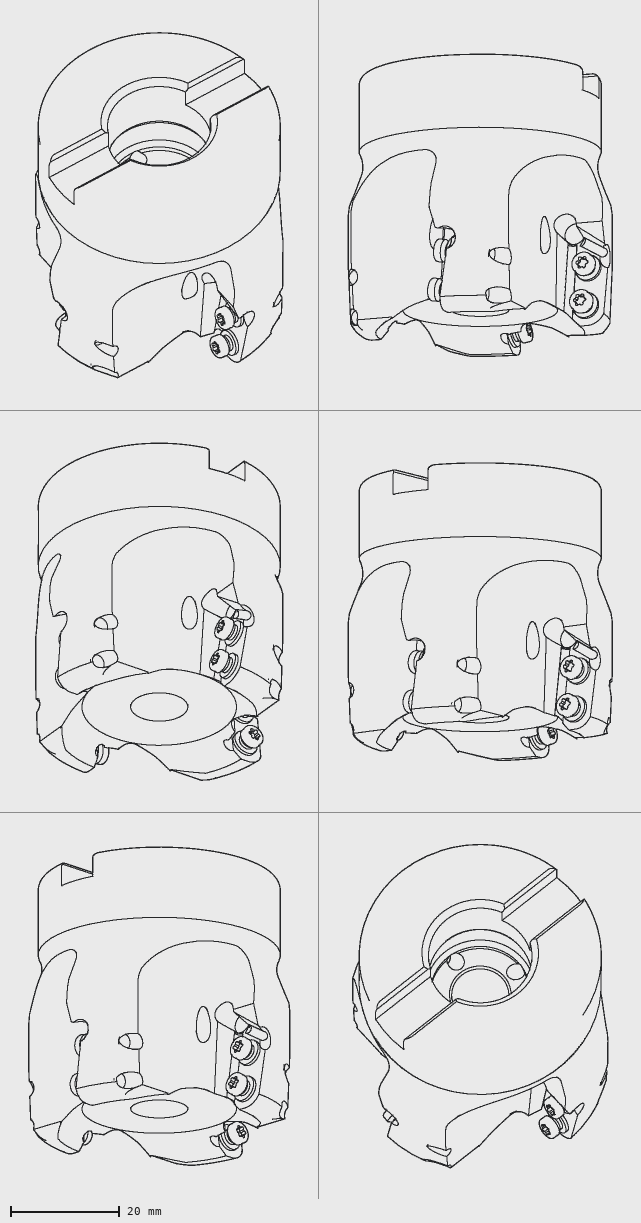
import cadquery as cq
import math


TEETH = 4
TOOTH_ANGLES = [i * 360 / TEETH for i in range(TEETH)]
CLEAR = 35.0

HEIGHT = 47.92
CUTTER_R = 48.57 / 2
HUB_R = 22.25
HUB_BOTTOM_Z = 33.9
HUB_EDGE_R = 1.5
NECK_R = 21.6
NECK_Z = 31.5
NECK_END_R = 21.9
NECK_END_Z = 29.2
CONE_END_R = 24.05
CONE_END_Z = 23.6
LAND_TOP_Z = 21.9
TAPER_TOP_Z = 12.7
NOSE_R = 23.85
NOSE_TOP_Z = 2.05
NOSE_MID_R = 22.9
NOSE_MID_Z = 0.8
RING_R = 20.7

DISH_DEPTH = 4.2
DISH_FLOOR_R = 14.2
DISH_MID_R = 16.2
DISH_MID_Z = 2.9
DISH_MOUTH_R = 19.2

BORE_R = 9.5
BORE_CHAMFER = 1.2
BORE_LAND_Z = 36.9
RELIEF_STEP = 0.5
RELIEF_TAPER = 1.0
RELIEF_END_Z = 31.0
SPIGOT_R = 9.15
SPIGOT_TOP_Z = 30.0
BORE_FLOOR_Z = 29.0
BOLT_HOLE_R = 5.25
BOLT_HOLE_CHAMFER = 0.4
SLOT_WIDTH = 7.9
SLOT_DEPTH = 4.85
SLOT_CHAMFER = 0.65

FLUTE_TILT = 4.5
FLUTE_WALL_Y = -1.86
FLUTE_FLOOR_X = 13.7
FLUTE_ARC_START = 19.0
FLUTE_ARC_R = 12.0
FLUTE_FILLET = 2.9
FLUTE_LENGTH = 26.0

CLEARANCE_START_X = 12.0
CLEARANCE_START_Y = 9.3
CLEARANCE_RISE = 1.25

SEAT_TILT = 9.1
SEAT_Y = 1.25
SEAT_SIDE_X = 16.3
SEAT_TOP_V = 18.8
SEAT_TOP_SLOPE = 30.0
SEAT_DRAFT = 10.0
SEAT_CUT_HEIGHT = 8.0
SEAT_STEP_HEIGHT = 2.0
SEAT_STEP = 0.35
SIDE_GROOVE_X = 16.7
SIDE_GROOVE_R = 0.9
SIDE_GROOVE_TOP = 16.2
TOP_GROOVE_R = 0.85
TOP_GROOVE_X = 18.7
CORNER_X = 17.05
CORNER_V = 18.3
CORNER_R = 2.1
CORNER_DEPTH = 0.4
BREAKOUT_CENTER = (24.4, 2.6, 13.0)
BREAKOUT_R = 2.15
BEVEL_TOP_Z = 19.0
BEVEL_HEIGHT = 4.0
BEVEL_DEPTH = 1.2
BEVEL_START_X = 17.5

SCREW_X = 20.25
SCREW_V = (3.85, 11.2)
THREAD_R = 1.5
SCREW_TIP = -7.5
HEAD_R = 2.1
HEAD_TOP = 3.4
HEAD_ROUND = 0.4
HEAD_UNDERSIDE = 1.9
NECK_TOP = 1.2
HOLE_DEPTH = 14.0
COLLAR_R = 2.45
COLLAR_TOP = 0.6
SOCKET_CORE_R = 0.9
SOCKET_LOBES = 6
SOCKET_LOBE_R = 0.3
SOCKET_DEPTH = 1.0

COOLANT_R = 1.55
COOLANT_ENTRY = cq.Vector(7.9, -0.84, BORE_FLOOR_Z)
COOLANT_EXIT = cq.Vector(13.5, -2.8, 17.3)
COOLANT_START = 1.0
COOLANT_OVERRUN = 4.0


def leaning_plane(y_at_bottom, tilt):
    """Plane facing -Y that leans back by tilt degrees: local x is X, local y runs up the plane."""
    a = math.radians(tilt)
    return cq.Plane(
        origin=(0, y_at_bottom, 0), xDir=(1, 0, 0), normal=(0, -math.cos(a), math.sin(a))
    )


SEAT = leaning_plane(SEAT_Y, SEAT_TILT)
FLUTE_WALL = leaning_plane(FLUTE_WALL_Y, FLUTE_TILT)


def around(tool):
    """The tool repeated at every tooth."""
    return [tool.rotate((0, 0, 0), (0, 0, 1), angle) for angle in TOOTH_ANGLES]


def turned_blank():
    profile = (
        cq.Workplane("XZ")
        .lineTo(RING_R, 0)
        .threePointArc((NOSE_MID_R, NOSE_MID_Z), (NOSE_R, NOSE_TOP_Z))
        .lineTo(CUTTER_R, TAPER_TOP_Z)
        .lineTo(CUTTER_R, LAND_TOP_Z)
        .lineTo(CONE_END_R, CONE_END_Z)
        .lineTo(NECK_END_R, NECK_END_Z)
        .threePointArc((NECK_R, NECK_Z), (HUB_R, HUB_BOTTOM_Z))
        .lineTo(HUB_R, HEIGHT)
        .lineTo(0, HEIGHT)
        .close()
    )
    return profile.revolve().faces(">Z").edges().fillet(HUB_EDGE_R)


def end_dish():
    return (
        cq.Workplane("XZ")
        .lineTo(DISH_MOUTH_R, 0)
        .lineTo(DISH_MID_R, DISH_MID_Z)
        .lineTo(DISH_FLOOR_R, DISH_DEPTH)
        .lineTo(0, DISH_DEPTH)
        .close()
        .revolve()
    )


def arbor_bore():
    relief_r = BORE_R + RELIEF_STEP
    return (
        cq.Workplane("XZ")
        .lineTo(BOLT_HOLE_R, 0)
        .lineTo(BOLT_HOLE_R, BORE_FLOOR_Z - BOLT_HOLE_CHAMFER)
        .lineTo(BOLT_HOLE_R + BOLT_HOLE_CHAMFER, BORE_FLOOR_Z)
        .lineTo(SPIGOT_R, BORE_FLOOR_Z)
        .lineTo(SPIGOT_R, SPIGOT_TOP_Z)
        .lineTo(relief_r, RELIEF_END_Z)
        .lineTo(relief_r, BORE_LAND_Z - RELIEF_TAPER)
        .lineTo(BORE_R, BORE_LAND_Z)
        .lineTo(BORE_R, HEIGHT - BORE_CHAMFER)
        .lineTo(BORE_R + BORE_CHAMFER, HEIGHT)
        .lineTo(0, HEIGHT)
        .close()
        .revolve()
    )


def drive_slot():
    half = SLOT_WIDTH / 2
    return (
        cq.Workplane("XZ")
        .moveTo(-half, HEIGHT - SLOT_DEPTH)
        .lineTo(half, HEIGHT - SLOT_DEPTH)
        .lineTo(half, HEIGHT - SLOT_CHAMFER)
        .lineTo(half + SLOT_CHAMFER, HEIGHT)
        .lineTo(-half - SLOT_CHAMFER, HEIGHT)
        .lineTo(-half, HEIGHT - SLOT_CHAMFER)
        .close()
        .extrude(CLEAR, both=True)
    )


def chip_flute():
    """Pocket in front of a tooth: flat floor curving outwards at the top, rounded into the wall."""
    arc_end = (FLUTE_FLOOR_X + FLUTE_ARC_R, FLUTE_ARC_START + FLUTE_ARC_R)
    bottom = -CLEAR / 2
    pocket = (
        cq.Workplane(FLUTE_WALL)
        .moveTo(FLUTE_FLOOR_X, bottom)
        .lineTo(FLUTE_FLOOR_X, FLUTE_ARC_START)
        .tangentArcPoint(arc_end, relative=False)
        .lineTo(CLEAR, arc_end[1])
        .lineTo(CLEAR, bottom)
        .close()
        .extrude(FLUTE_LENGTH)
    )
    wall_edges = pocket.faces(cq.selectors.DirectionMinMaxSelector(FLUTE_WALL.zDir, False)).edges()
    inside = cq.selectors.BoxSelector(
        (FLUTE_FLOOR_X - 1, -CLEAR, -CLEAR), (arc_end[0], CLEAR, arc_end[1] + 1)
    )
    return wall_edges.edges(inside).fillet(FLUTE_FILLET)


def bottom_clearance():
    """Wedge that lifts the trailing end of a tooth off the cutting plane."""
    slope = CLEARANCE_RISE / (FLUTE_FLOOR_X - CLEARANCE_START_Y)
    end_y = FLUTE_FLOOR_X + 1
    return (
        cq.Workplane("YZ", origin=(CLEARANCE_START_X, 0, 0))
        .moveTo(CLEARANCE_START_Y, 0)
        .lineTo(end_y, slope * (end_y - CLEARANCE_START_Y))
        .lineTo(end_y, -1)
        .lineTo(CLEARANCE_START_Y, -1)
        .close()
        .extrude(CLEAR)
    )


def wall_bevel():
    """Bevel that cuts the flute wall back just above the seat."""
    wall_y = FLUTE_WALL_Y + BEVEL_TOP_Z * math.tan(math.radians(FLUTE_TILT))
    return (
        cq.Workplane("YZ", origin=(BEVEL_START_X, 0, 0))
        .moveTo(wall_y, BEVEL_TOP_Z)
        .lineTo(wall_y + BEVEL_DEPTH, BEVEL_TOP_Z - BEVEL_HEIGHT)
        .lineTo(wall_y - BEVEL_DEPTH, BEVEL_TOP_Z - BEVEL_HEIGHT)
        .close()
        .extrude(CLEAR)
    )


def seat_top(x):
    """Height of the sloping top wall at the seat plane."""
    return SEAT_TOP_V - (x - SEAT_SIDE_X) * math.tan(math.radians(SEAT_TOP_SLOPE))


def seat_pocket(step, base_height):
    """Drafted pocket above the seat, its side and top walls moved out by step."""
    side_x = SEAT_SIDE_X - step
    return (
        cq.Workplane(SEAT)
        .workplane(offset=base_height)
        .moveTo(side_x, -CLEAR / 2)
        .lineTo(side_x, seat_top(side_x) + step)
        .lineTo(CLEAR, seat_top(CLEAR) + step)
        .lineTo(CLEAR, -CLEAR / 2)
        .close()
        .extrude(SEAT_CUT_HEIGHT, taper=-SEAT_DRAFT)
    )


def insert_seat():
    """Stepped seat pocket with relief grooves along its walls and a drilled inner corner."""
    pocket = seat_pocket(0, 0)
    upper_pocket = seat_pocket(SEAT_STEP, SEAT_STEP_HEIGHT)
    side_groove = cq.Solid.makeCylinder(
        SIDE_GROOVE_R,
        SIDE_GROOVE_TOP,
        SEAT.toWorldCoords((SIDE_GROOVE_X, 0, 0)),
        SEAT.yDir,
    )
    groove_start = SEAT.toWorldCoords((TOP_GROOVE_X, seat_top(TOP_GROOVE_X) - TOP_GROOVE_R, 0))
    groove_end = SEAT.toWorldCoords((CLEAR, seat_top(CLEAR) - TOP_GROOVE_R, 0))
    top_groove = cq.Solid.makeCylinder(
        TOP_GROOVE_R, (groove_end - groove_start).Length, groove_start, groove_end - groove_start
    )
    corner = (
        cq.Workplane(SEAT)
        .workplane(offset=-CORNER_DEPTH)
        .center(CORNER_X, CORNER_V)
        .circle(CORNER_R)
        .extrude(SEAT_CUT_HEIGHT)
    )
    breakout = cq.Workplane("XY").sphere(BREAKOUT_R).translate(BREAKOUT_CENTER)
    grooves = [cq.Workplane(side_groove), cq.Workplane(top_groove)]
    return [pocket, upper_pocket, *grooves, corner, breakout]


def screw_hole(v):
    """Hole through the tooth that the screw shank fills."""
    return cq.Workplane(SEAT).center(SCREW_X, v).circle(THREAD_R).extrude(-HOLE_DEPTH)


def coolant_hole():
    direction = (COOLANT_EXIT - COOLANT_ENTRY).normalized()
    start = COOLANT_ENTRY - direction * COOLANT_START
    length = (COOLANT_EXIT - start).Length + COOLANT_OVERRUN
    return cq.Workplane(cq.Solid.makeCylinder(COOLANT_R, length, start, direction))


def cutter_body():
    body = turned_blank().cut(end_dish()).cut(arbor_bore()).cut(drive_slot())
    tools = [chip_flute(), bottom_clearance(), wall_bevel(), coolant_hole(), *insert_seat()]
    tools += [screw_hole(v) for v in SCREW_V]
    for tool in tools:
        for copy in around(tool):
            body = body.cut(copy)
    return body


def clamping_screw(v):
    """Plain shank with a collar on the seat, and a round-edged head with a six-lobe socket."""
    base = cq.Plane(origin=SEAT.toWorldCoords((SCREW_X, v, 0)), xDir=SEAT.xDir, normal=SEAT.zDir)
    shank = cq.Workplane(base).workplane(offset=SCREW_TIP).circle(THREAD_R).extrude(NECK_TOP - SCREW_TIP)
    collar = cq.Workplane(base).circle(COLLAR_R).extrude(COLLAR_TOP)
    taper = (
        cq.Workplane(base)
        .workplane(offset=NECK_TOP)
        .circle(THREAD_R)
        .workplane(offset=HEAD_UNDERSIDE - NECK_TOP)
        .circle(HEAD_R)
        .loft()
    )
    head = (
        cq.Workplane(base)
        .workplane(offset=HEAD_UNDERSIDE)
        .circle(HEAD_R)
        .extrude(HEAD_TOP - HEAD_UNDERSIDE)
        .faces(cq.selectors.DirectionMinMaxSelector(base.zDir))
        .edges()
        .fillet(HEAD_ROUND)
    )
    socket_plane = cq.Workplane(base).workplane(offset=HEAD_TOP - SOCKET_DEPTH)
    core = socket_plane.circle(SOCKET_CORE_R).extrude(SOCKET_DEPTH)
    lobes = (
        socket_plane.polarArray(SOCKET_CORE_R, 0, 360, SOCKET_LOBES)
        .circle(SOCKET_LOBE_R)
        .extrude(SOCKET_DEPTH)
    )
    return shank.union(collar).union(taper).union(head).cut(core).cut(lobes)


body = cutter_body()
screws = [copy for v in SCREW_V for copy in around(clamping_screw(v))]

result = cq.Compound.makeCompound([body.val(), *[screw.val() for screw in screws]])